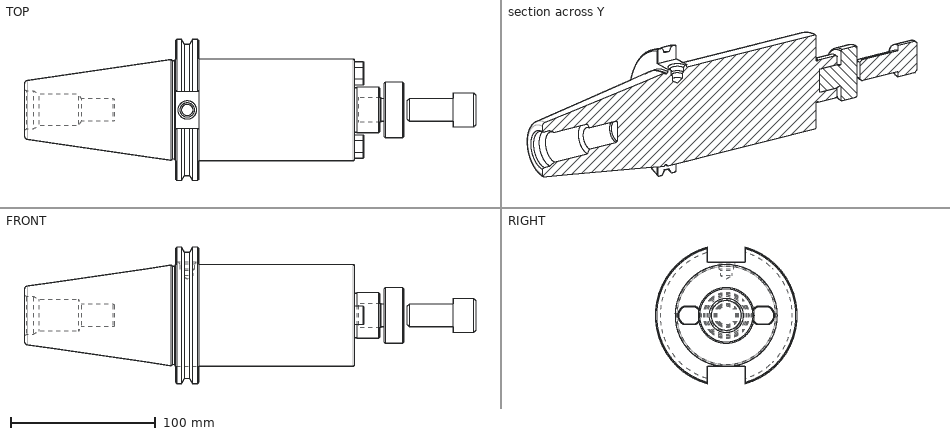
import cadquery as cq
import math


taper_length = 101.5
taper_end_radius = 35.0
taper_slope = 7 / 48
nose_radius = taper_end_radius - taper_slope * taper_length
nose_fillet = 2.5

bore_mouth_diameter = 28.0
bore_entry_diameter = 26.3
bore_thread_diameter = 22.0
bore_pilot_diameter = 15.5
bore_floor_diameter = 14.5
bore_entry_depth = 6.3
bore_thread_depth = 37.5
bore_floor_depth = 62.5
bore_bevel_half_angle = 30
drill_tip_half_angle = 59

relief_radius = 34.0
relief_bevel = 1.0

flange_start = 104.7
flange_end = 120.7
flange_diameter = 98.2
flange_radius = flange_diameter / 2
flange_chamfer = 1.0
groove_center = 112.5
groove_floor_radius = 45.5
groove_floor_width = 3.8
groove_flank_angle = 30

slot_width = 25.5
slot_edge_chamfer = 0.5
slot_center = (flange_start + flange_end) / 2
top_slot_height = 37.0
bottom_slot_height = 35.3
slot_hole_mouth_diameter = 12.8
slot_hole_diameter = 10.0
slot_hole_tip_diameter = 7.8
slot_hole_depth = 9.5

body_end = 228.5
body_radius = 35.3
body_edge_fillet = 1.3
pilot_end = 246.0
pilot_radius = 16.0
pilot_chamfer = 1.0
pilot_neck_diameter = 31.0
pilot_neck_width = 1.5

screw_diameter = 16.0

clamp_shank_start = 231.3
clamp_collar_end = 246.5
clamp_collar_diameter = 17.0
clamp_head_start = 248.8
clamp_head_end = 262.5
clamp_head_diameter = 38.8
clamp_head_chamfer = 1.0

cap_screw_start = 264.8
cap_screw_tip_diameter = 12.8
cap_screw_tip_length = 2.0
cap_head_start = 296.7
cap_screw_end = 312.5
cap_head_diameter = 23.8
cap_head_end_diameter = 20.5
cap_head_chamfer_length = 2.0

key_inner_y = 17.2
key_outer_y = 33.5
key_width = 12.8
key_height = 6.5
key_end_bulge = 4.0
key_chamfer = 0.5


def revolve_about_x(points):
    """Turn a closed (x, radius) outline about the X axis."""
    return cq.Workplane("XY").polyline(points).close().revolve(360, (0, 0, 0), (1, 0, 0))


def cone_length(large_diameter, small_diameter, half_angle):
    """Axial length of a cone between two diameters."""
    return (large_diameter - small_diameter) / 2 / math.tan(math.radians(half_angle))


def make_holder_blank():
    groove_floor_half = groove_floor_width / 2
    groove_run = (flange_radius - groove_floor_radius) * math.tan(math.radians(groove_flank_angle))
    groove_half = groove_floor_half + groove_run
    flange_edge_radius = flange_radius - flange_chamfer
    pilot_neck_radius = pilot_neck_diameter / 2
    pilot_start = body_end + pilot_neck_width
    blank = revolve_about_x([
        (0, 0),
        (0, nose_radius),
        (taper_length, taper_end_radius),
        (taper_length + relief_bevel, relief_radius),
        (flange_start - relief_bevel, relief_radius),
        (flange_start, body_radius),
        (flange_start, flange_edge_radius),
        (flange_start + flange_chamfer, flange_radius),
        (groove_center - groove_half, flange_radius),
        (groove_center - groove_floor_half, groove_floor_radius),
        (groove_center + groove_floor_half, groove_floor_radius),
        (groove_center + groove_half, flange_radius),
        (flange_end - flange_chamfer, flange_radius),
        (flange_end, flange_edge_radius),
        (flange_end, body_radius),
        (body_end, body_radius),
        (body_end, pilot_neck_radius),
        (pilot_start, pilot_neck_radius),
        (pilot_start, pilot_radius),
        (pilot_end - pilot_chamfer, pilot_radius),
        (pilot_end, pilot_radius - pilot_chamfer),
        (pilot_end, 0),
    ])
    blank = blank.faces("<X").edges().fillet(nose_fillet)
    edge_reach = body_radius + body_edge_fillet
    edge_zone = cq.selectors.BoxSelector(
        (body_end - body_edge_fillet, -edge_reach, -edge_reach),
        (body_end + body_edge_fillet, edge_reach, edge_reach),
    )
    return blank.edges(edge_zone).edges(cq.selectors.RadiusNthSelector(-1)).fillet(body_edge_fillet)


def make_drawbar_bore():
    mouth_depth = cone_length(bore_mouth_diameter, bore_entry_diameter, bore_bevel_half_angle)
    step_length = cone_length(bore_entry_diameter, bore_thread_diameter, bore_bevel_half_angle)
    floor_bevel = cone_length(bore_pilot_diameter, bore_floor_diameter, bore_bevel_half_angle)
    tip_length = cone_length(bore_thread_diameter, bore_pilot_diameter, drill_tip_half_angle)
    return revolve_about_x([
        (0, 0),
        (0, bore_mouth_diameter / 2),
        (mouth_depth, bore_entry_diameter / 2),
        (bore_entry_depth, bore_entry_diameter / 2),
        (bore_entry_depth + step_length, bore_thread_diameter / 2),
        (bore_thread_depth, bore_thread_diameter / 2),
        (bore_thread_depth + tip_length, bore_pilot_diameter / 2),
        (bore_floor_depth - floor_bevel, bore_pilot_diameter / 2),
        (bore_floor_depth, bore_floor_diameter / 2),
        (bore_floor_depth, 0),
    ])


def make_drive_slot(floor_height, side):
    """Slot across the flange; side is +1 for the top and -1 for the bottom."""
    length = flange_end - flange_start
    depth = flange_radius - floor_height
    center_z = side * (floor_height + depth / 2)
    slot = cq.Workplane("XY").box(length, slot_width, depth).translate((slot_center, 0, center_z))
    for face_x in (flange_start, flange_end):
        slot = slot.union(make_slot_edge_flare(face_x, depth).translate((0, 0, center_z)))
    return slot


def make_slot_edge_flare(face_x, depth):
    """Widened mouth that bevels the slot walls where they meet a flange face."""
    half_width = slot_width / 2
    inward = math.copysign(slot_edge_chamfer, slot_center - face_x)
    outline = [
        (face_x, -half_width - slot_edge_chamfer),
        (face_x, half_width + slot_edge_chamfer),
        (face_x + inward, half_width),
        (face_x + inward, -half_width),
    ]
    return cq.Workplane("XY", (0, 0, -depth / 2)).polyline(outline).close().extrude(depth)


def make_slot_hole():
    """Countersunk blind hole with a conical bottom, drilled down from the top slot floor."""
    mouth_radius = slot_hole_mouth_diameter / 2
    radius = slot_hole_diameter / 2
    tip_radius = slot_hole_tip_diameter / 2
    countersink = mouth_radius - radius
    shoulder = radius - tip_radius
    tip_length = cone_length(slot_hole_tip_diameter, 0, drill_tip_half_angle)
    outline = [
        (0, 0),
        (mouth_radius, 0),
        (radius, -countersink),
        (radius, -slot_hole_depth / 2),
        (tip_radius, -slot_hole_depth / 2 - shoulder),
        (tip_radius, -slot_hole_depth),
        (0, -slot_hole_depth - tip_length),
    ]
    hole = cq.Workplane("XZ").polyline(outline).close().revolve(360, (0, 0, 0), (0, 1, 0))
    return hole.translate((slot_center, 0, top_slot_height))


def make_holder():
    holder = make_holder_blank().cut(make_drawbar_bore())
    holder = holder.cut(make_drive_slot(top_slot_height, 1))
    holder = holder.cut(make_drive_slot(bottom_slot_height, -1))
    return holder.cut(make_slot_hole()).cut(make_clamp_screw())


def make_clamp_screw():
    collar_radius = clamp_collar_diameter / 2
    head_radius = clamp_head_diameter / 2
    head_edge_radius = head_radius - clamp_head_chamfer
    return revolve_about_x([
        (clamp_shank_start, 0),
        (clamp_shank_start, collar_radius),
        (clamp_collar_end, collar_radius),
        (clamp_collar_end, screw_diameter / 2),
        (clamp_head_start, screw_diameter / 2),
        (clamp_head_start, head_edge_radius),
        (clamp_head_start + clamp_head_chamfer, head_radius),
        (clamp_head_end - clamp_head_chamfer, head_radius),
        (clamp_head_end, head_edge_radius),
        (clamp_head_end, 0),
    ])


def make_cap_screw():
    return revolve_about_x([
        (cap_screw_start, 0),
        (cap_screw_start, cap_screw_tip_diameter / 2),
        (cap_screw_start + cap_screw_tip_length, screw_diameter / 2),
        (cap_head_start, screw_diameter / 2),
        (cap_head_start, cap_head_diameter / 2),
        (cap_screw_end - cap_head_chamfer_length, cap_head_diameter / 2),
        (cap_screw_end, cap_head_end_diameter / 2),
        (cap_screw_end, 0),
    ])


def make_drive_key(side):
    """Key on the body end face with bowed ends; side is +1 for +Y and -1 for -Y."""
    half_width = key_width / 2
    half_length = (key_outer_y - key_inner_y) / 2
    shoulder = half_length - key_end_bulge
    center_y = side * (key_inner_y + key_outer_y) / 2
    key = (
        cq.Workplane("YZ", (body_end, center_y, 0))
        .moveTo(-shoulder, -half_width)
        .lineTo(shoulder, -half_width)
        .threePointArc((half_length, 0), (shoulder, half_width))
        .lineTo(-shoulder, half_width)
        .threePointArc((-half_length, 0), (-shoulder, -half_width))
        .close()
        .extrude(key_height)
    )
    return key.faces(">X").edges().chamfer(key_chamfer)


holder = make_holder()
clamp_screw = make_clamp_screw()
cap_screw = make_cap_screw()
drive_keys = [make_drive_key(side) for side in (1, -1)]

result = cq.Compound.makeCompound([
    holder.val(),
    clamp_screw.val(),
    cap_screw.val(),
    *[key.val() for key in drive_keys],
])